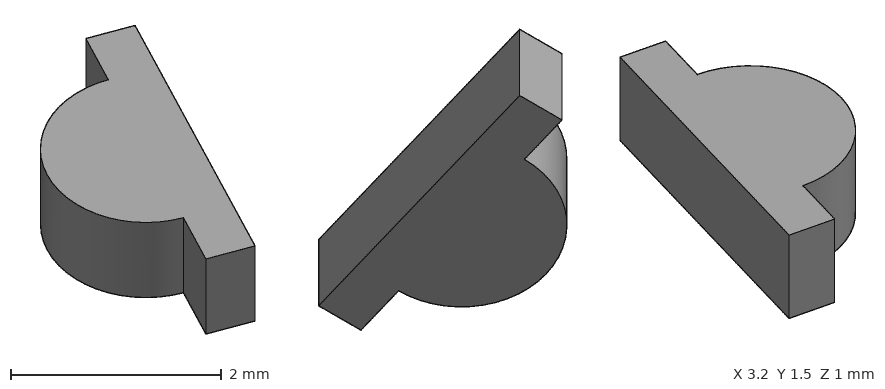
import cadquery as cq

length = 3.2
depth = 1.5
height = 1.0

plate_thickness = depth / 3
lens_radius = depth - plate_thickness

plate = cq.Workplane("XY").box(length, plate_thickness, height, centered=(True, False, False))

lens = (
    cq.Workplane("XY")
    .moveTo(-lens_radius, 0)
    .threePointArc((0, -lens_radius), (lens_radius, 0))
    .close()
    .extrude(height)
)

result = plate.union(lens)